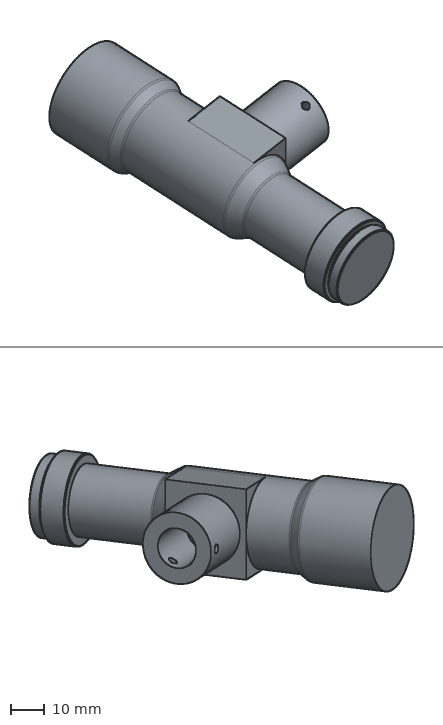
import cadquery as cq
import math

length = 111.9
head_radius = 16.0
body_radius = 14.0
neck_radius = 22.0 / 2
groove_radius = 12.3
tip_radius = 25.4 / 2

head_end = 23.5
body_end = 67.8
ring_start = 99.8
ring_end = 107.9
groove_end = 108.5
taper_angle = 30.0
taper_blend = 1.3
edge_chamfer = 0.3

branch_x = 54.2
block_length = 26.2
branch_radius = neck_radius
branch_end = 35.4
bore_radius = 6.2
bore_floor = body_radius

screw_hole_radius = 1.3
screw_hole_inset = 4.0
screw_hole_count = 3


def taper_length(large_radius, small_radius):
    return (large_radius - small_radius) / math.tan(math.radians(taper_angle))


def disc(start, end, radius):
    """Cylinder on the X axis between two X positions."""
    return cq.Workplane("YZ", origin=(start, 0, 0)).circle(radius).extrude(end - start)


def make_barrel():
    body_start = head_end + taper_length(head_radius, body_radius)
    neck_start = body_end + taper_length(body_radius, neck_radius)
    profile = [
        (0, 0),
        (0, head_radius),
        (head_end, head_radius),
        (body_start, body_radius),
        (body_end, body_radius),
        (neck_start, neck_radius),
        (ring_start, neck_radius),
        (ring_start, 0),
    ]
    shaft = cq.Workplane("XY").polyline(profile).close().revolve(360, (0, 0, 0), (1, 0, 0))
    taper_ends = cq.selectors.BoxSelector(
        (head_end - taper_blend, -head_radius, -head_radius),
        (neck_start + taper_blend, head_radius, head_radius),
    )
    shaft = shaft.edges("%CIRCLE").edges(taper_ends).fillet(taper_blend)

    ring = disc(ring_start, ring_end, body_radius).edges("%CIRCLE").chamfer(edge_chamfer)
    groove = disc(ring_end, groove_end, groove_radius)
    tip = disc(groove_end, length, tip_radius).faces(">X").edges().chamfer(edge_chamfer)
    return shaft.union(ring).union(groove).union(tip)


def make_branch():
    block = cq.Workplane("XY").box(
        block_length, body_radius, 2 * body_radius, centered=(True, False, True)
    )
    tube = cq.Workplane("XZ").circle(branch_radius).extrude(-branch_end)
    return block.union(tube).translate((branch_x, 0, 0))


def cut_branch_bore(part):
    bore = (
        cq.Workplane("XZ", origin=(branch_x, bore_floor, 0))
        .circle(bore_radius)
        .extrude(bore_floor - branch_end)
    )
    return part.cut(bore)


def cut_screw_holes(part):
    hole_y = branch_end - screw_hole_inset
    centre = (branch_x, hole_y, 0)
    axis_end = (branch_x, hole_y + 1.1, 0)
    hole = cq.Workplane("YZ", origin=centre).circle(screw_hole_radius).extrude(-branch_radius)
    for index in range(screw_hole_count):
        part = part.cut(hole.rotate(centre, axis_end, index * 360 / screw_hole_count))
    return part


result = make_barrel().union(make_branch())
result = cut_branch_bore(result)
result = cut_screw_holes(result)